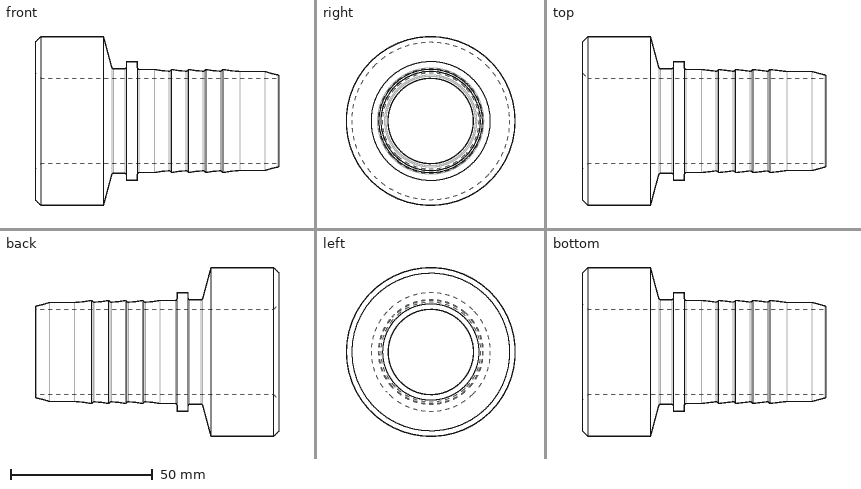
import cadquery as cq
import math

total_length = 86.0
head_length = 24.1
collar_start = 32.1
collar_width = 3.95
first_crest = 42.05
barb_pitch = 6.0
barb_count = 5
tip_taper_start = 81.0

head_diameter = 59.6
neck_diameter = 37.0
collar_diameter = 42.0
barb_diameter = 36.5
tail_diameter = 35.0
bore_diameter = 30.0

head_chamfer = 2.0
bore_chamfer = 2.0
edge_fillet = 0.5
shoulder_angle = 15.0
tip_angle = 15.0

head_radius = head_diameter / 2
neck_radius = neck_diameter / 2
collar_radius = collar_diameter / 2
barb_radius = barb_diameter / 2
tail_radius = tail_diameter / 2
bore_radius = bore_diameter / 2
shoulder_length = (head_radius - neck_radius) * math.tan(math.radians(shoulder_angle))
neck_start = head_length + shoulder_length
collar_end = collar_start + collar_width
tip_taper_length = total_length - tip_taper_start
tip_radius = tail_radius - tip_taper_length * math.tan(math.radians(tip_angle))

barb_crests = [first_crest + i * barb_pitch for i in range(barb_count)]
tail_start = barb_crests[-1] + barb_pitch
barb_slope = (barb_radius - tail_radius) / barb_pitch
barb_root_depth = barb_pitch * barb_slope / (1 + barb_slope)
barb_root_radius = barb_radius - barb_root_depth
barb_roots = [crest - barb_root_depth for crest in barb_crests[1:]]


def outer_profile():
    """Half section of the solid body as (axial position, radius) points."""
    head = [
        (0, 0),
        (0, head_radius - head_chamfer),
        (head_chamfer, head_radius),
        (head_length, head_radius),
        (neck_start, neck_radius),
    ]
    collar = [
        (collar_start, neck_radius),
        (collar_start, collar_radius),
        (collar_end, collar_radius),
        (collar_end, barb_radius),
    ]
    barbs = [(first_crest, barb_radius)]
    for root, crest in zip(barb_roots, barb_crests[1:]):
        barbs.append((root, barb_root_radius))
        barbs.append((crest, barb_radius))
    tail = [
        (tail_start, tail_radius),
        (tip_taper_start, tail_radius),
        (total_length, tip_radius),
        (total_length, 0),
    ]
    return head + collar + barbs + tail


def fillet_circles(body, circles):
    """Round the circular edges given as (axial position, radius) pairs."""
    tolerance = 0.001

    def is_listed(edge):
        if edge.geomType() != "CIRCLE":
            return False
        place = (edge.Center().x, edge.radius())
        return any(math.dist(place, circle) < tolerance for circle in circles)

    return body.edges().filter(is_listed).fillet(edge_fillet)


def bore_cutter():
    """Through bore with a chamfered mouth in the head face."""
    points = [
        (0, 0),
        (0, bore_radius + bore_chamfer),
        (bore_chamfer, bore_radius),
        (total_length, bore_radius),
        (total_length, 0),
    ]
    return revolve_about_axis(points)


def revolve_about_axis(points):
    """Turn a half section about the X axis."""
    return cq.Workplane("XY").polyline(points).close().revolve(360, (0, 0, 0), (1, 0, 0))


rounded_circles = [
    (neck_start, neck_radius),
    (collar_start, neck_radius),
    (collar_end, barb_radius),
    (total_length, tip_radius),
]
rounded_circles += [(root, barb_root_radius) for root in barb_roots]

body = fillet_circles(revolve_about_axis(outer_profile()), rounded_circles)
result = body.cut(bore_cutter())